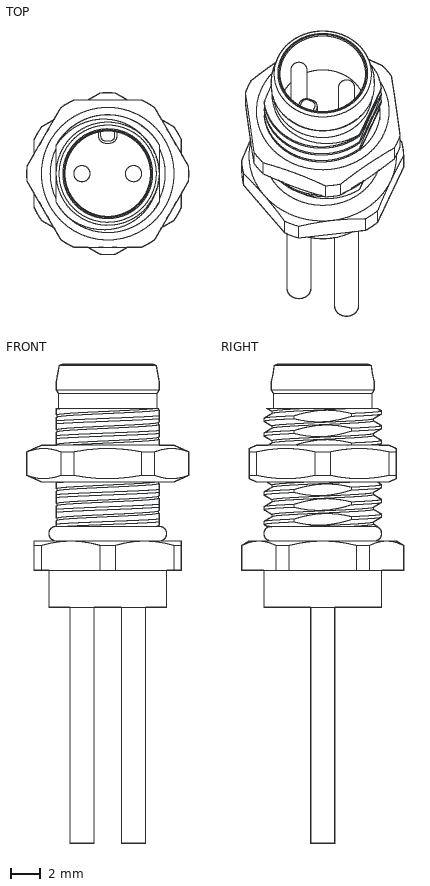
import cadquery as cq
import math

overall_height = 32.5
wire_length = 16.0
base_height = 2.5
flange_height = 2.0
seal_thickness = 1.0
thread_length = 8.0
base_bottom = wire_length
flange_bottom = base_bottom + base_height
flange_top = flange_bottom + flange_height
thread_bottom = flange_top + seal_thickness
thread_top = thread_bottom + thread_length

base_radius = 4.0
seal_section_radius = seal_thickness / 2
seal_ring_radius = base_radius - seal_section_radius

neck_radius = 3.35
collar_radius = 3.5
tip_radius = 3.3
tip_chamfer_width = 0.25
tip_chamfer_height = 0.1
neck_length = 1.0
collar_taper = 0.25
collar_length = 0.55

socket_radius = 2.9
socket_depth = 5.0
socket_chamfer = 0.07
socket_floor = overall_height - socket_depth
key_width = 1.25
key_inner_reach = 2.06
key_corner_radius = 0.5
key_recess = 0.1
key_chamfer = 0.15
pin_radius = 0.55
pin_offset = 1.75
pin_recess = 0.3

wire_radius = 0.825

thread_radius = 4.0
thread_pitch = 1.0
thread_root_radius = 3.45
thread_root_width = 0.85
thread_crest_width = 0.2
thread_embed = 0.1
thread_crest_drop = 3.28
thread_start_angle = 90
thread_flat_distance = 7.0

hex_sides = 6
hex_across_flats = 10.0
hex_corner_radius = 5.5
nut_height = 2.5
nut_height_above_seal = 3.0
nut_bottom = thread_bottom + nut_height_above_seal
nut_clearance_radius = 3.9
nut_face_radius = 4.5
nut_chamfer_height = 0.45
flange_turn = 180 / hex_sides
flange_face_radius = 5.0
flange_chamfer_height = 0.3


def cylinder(radius, bottom, top, x=0.0):
    return cq.Workplane("XY", origin=(x, 0, bottom)).circle(radius).extrude(top - bottom)


def revolve_profile(points):
    """Revolve a closed (radius, height) outline about the Z axis."""
    return cq.Workplane("XZ").polyline(points).close().revolve(360, (0, 0), (0, 1))


def make_hexagon(bottom, height, turn=0):
    """Hexagonal prism; with no turn two of its flats face the Y directions."""
    across_corners = hex_across_flats / math.cos(math.pi / hex_sides)
    prism = cq.Workplane("XY").polygon(hex_sides, across_corners).extrude(height)
    return prism.rotate((0, 0, 0), (0, 0, 1), turn).translate((0, 0, bottom))


def make_flats_slab(bottom, top):
    """Slab between the two thread flats, wider than the thread along Y."""
    slab = cq.Workplane("XY", origin=(0, 0, bottom))
    return slab.rect(thread_flat_distance, 4 * thread_radius).extrude(top - bottom)


def make_flange():
    top = flange_top
    envelope = revolve_profile([
        (0, flange_bottom),
        (hex_corner_radius, flange_bottom),
        (hex_corner_radius, top - flange_chamfer_height),
        (flange_face_radius, top),
        (0, top),
    ])
    return make_hexagon(flange_bottom, flange_height, flange_turn).intersect(envelope)


def make_nut():
    """Nut with a gap between its bore and each of the thread flats."""
    top = nut_bottom + nut_height
    envelope = revolve_profile([
        (0, nut_bottom),
        (nut_face_radius, nut_bottom),
        (hex_corner_radius, nut_bottom + nut_chamfer_height),
        (hex_corner_radius, top - nut_chamfer_height),
        (nut_face_radius, top),
        (0, top),
    ])
    gaps = cylinder(nut_clearance_radius, nut_bottom, top)
    gaps = gaps.cut(make_flats_slab(nut_bottom, top))
    return make_hexagon(nut_bottom, nut_height).intersect(envelope).cut(gaps)


def make_seal():
    middle = flange_top + seal_section_radius
    core = cylinder(seal_ring_radius, flange_top, thread_bottom)
    ring = (
        cq.Workplane("XZ")
        .center(seal_ring_radius, middle)
        .circle(seal_section_radius)
        .revolve(360, (-seal_ring_radius, 0), (-seal_ring_radius, 1))
    )
    return core.union(ring)


def make_thread():
    """Right-handed ridge on a root cylinder, cut off square at both ends."""
    core = cylinder(thread_root_radius, thread_bottom, thread_top)
    crest_height = overall_height - thread_crest_drop
    turns_below_crest = math.ceil((crest_height - thread_bottom) / thread_pitch) + 1
    ridge_bottom = crest_height - turns_below_crest * thread_pitch
    turns = turns_below_crest + 1
    inner_radius = thread_root_radius - thread_embed
    helix = cq.Wire.makeHelix(thread_pitch, turns * thread_pitch, inner_radius)
    ridge = (
        cq.Workplane("XZ")
        .polyline([
            (inner_radius, -thread_root_width / 2),
            (thread_root_radius, -thread_root_width / 2),
            (thread_radius, -thread_crest_width / 2),
            (thread_radius, thread_crest_width / 2),
            (thread_root_radius, thread_root_width / 2),
            (inner_radius, thread_root_width / 2),
        ])
        .close()
        .sweep(cq.Workplane(helix), isFrenet=True)
    )
    ridge = ridge.rotate((0, 0, 0), (0, 0, 1), thread_start_angle)
    ridge = ridge.translate((0, 0, ridge_bottom))
    return core.union(ridge.intersect(make_flats_slab(thread_bottom, thread_top)))


def make_nose():
    neck_top = thread_top + neck_length
    collar_bottom = neck_top + collar_taper
    return revolve_profile([
        (0, thread_top),
        (neck_radius, thread_top),
        (neck_radius, neck_top),
        (collar_radius, collar_bottom),
        (collar_radius, collar_bottom + collar_length),
        (tip_radius, overall_height - tip_chamfer_height),
        (tip_radius - tip_chamfer_width, overall_height),
        (0, overall_height),
    ])


def make_socket():
    return revolve_profile([
        (0, socket_floor),
        (socket_radius, socket_floor),
        (socket_radius, overall_height - socket_chamfer),
        (socket_radius + socket_chamfer, overall_height),
        (0, overall_height),
    ])


def make_key():
    """Rib with rounded corners running up the +Y wall of the socket."""
    wall_y = (socket_radius + tip_radius - tip_chamfer_width) / 2
    depth = wall_y - key_inner_reach
    return (
        cq.Workplane("XY", origin=(0, key_inner_reach + depth / 2, socket_floor))
        .rect(key_width, depth)
        .extrude(socket_depth - key_recess)
        .edges("|Z and <Y")
        .fillet(key_corner_radius)
        .faces(">Z")
        .edges("not(>Y)")
        .chamfer(key_chamfer)
    )


def make_pin(x):
    """Contact pin with a hemispherical tip."""
    dome_base = overall_height - pin_recess - pin_radius
    dome = cq.Workplane("XY", origin=(x, 0, dome_base)).sphere(pin_radius)
    return cylinder(pin_radius, socket_floor, dome_base, x).union(dome)


result = cylinder(base_radius, base_bottom, flange_bottom)
result = result.union(make_flange()).union(make_seal())
result = result.union(make_thread()).union(make_nut()).union(make_nose())
result = result.cut(make_socket()).union(make_key())
for side in (-1, 1):
    result = result.union(make_pin(side * pin_offset))
    result = result.union(cylinder(wire_radius, 0, base_bottom, side * pin_offset))